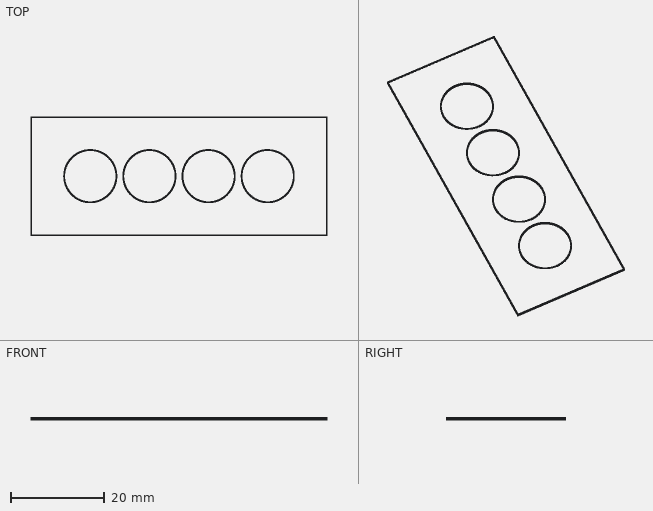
import cadquery as cq

plate_length = 63.5
plate_width = 25.4
plate_thickness = 0.38

hole_count = 4
hole_diameter = 11.18
hole_pitch = plate_length / (hole_count + 1)


def make_plate():
    return cq.Workplane("XY").box(plate_length, plate_width, plate_thickness)


def cut_hole_row(plate):
    return (
        plate.faces(">Z")
        .workplane()
        .rarray(hole_pitch, plate_width, hole_count, 1)
        .hole(hole_diameter)
    )


result = cut_hole_row(make_plate())